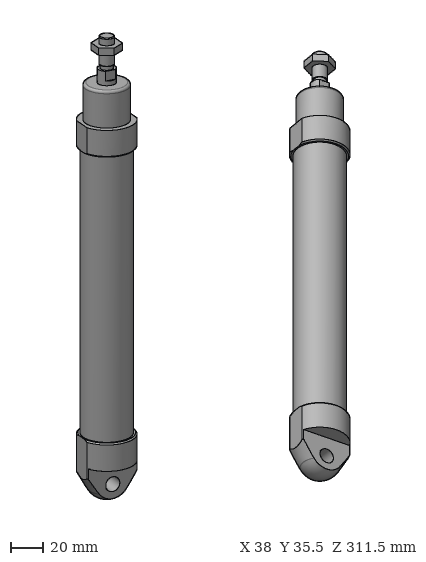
import cadquery as cq
import math

total_height = 311.5

cap_diameter = 38.0
cap_across_flats = 35.5
tube_diameter = 33.5
cap_chamfer = 1.0
front_cap_bottom = 236.7
front_cap_top = 255.0
rear_cap_top = 44.2
rear_cap_bottom = 25.5

nose_diameter = 30.0
nose_top = 280.0
nose_fillet = 2.0

eye_thickness = 16.0
eye_tip_radius = 14.3
eye_cone_half_angle = math.radians(30)
eye_hole_diameter = 10.0
eye_hole_height = 12.0

rod_diameter = 12.0
rod_shoulder = 289.7
wrench_flat_width = 10.0
wrench_flat_bottom = 283.0
neck_diameter = 8.5
neck_top = 292.5
thread_diameter = 10.0
thread_chamfer = 0.5

nut_across_flats = 17.0
nut_bottom = 301.5
nut_thickness = 5.0


def cylinder(diameter, bottom, top):
    return cq.Workplane("XY").workplane(offset=bottom).circle(diameter / 2).extrude(top - bottom)


def make_rear_cap():
    """Round cap whose lower end narrows through a cone into a spherical tip."""
    radius = cap_diameter / 2
    tangent_radius = eye_tip_radius * math.cos(eye_cone_half_angle)
    tangent_height = eye_tip_radius * (1 - math.sin(eye_cone_half_angle))
    cone_top = tangent_height + (radius - tangent_radius) / math.tan(eye_cone_half_angle)
    mid_angle = (math.pi / 2 + eye_cone_half_angle) / 2
    arc_middle = (
        eye_tip_radius * math.cos(mid_angle),
        eye_tip_radius * (1 - math.sin(mid_angle)),
    )
    cap = (
        cq.Workplane("YZ")
        .moveTo(0, 0)
        .threePointArc(arc_middle, (tangent_radius, tangent_height))
        .lineTo(radius, cone_top)
        .lineTo(radius, rear_cap_top - cap_chamfer)
        .lineTo(radius - cap_chamfer, rear_cap_top)
        .lineTo(0, rear_cap_top)
        .close()
        .revolve(360, (0, 0, 0), (0, 1, 0))
    )
    tongue = cq.Workplane("XY").box(
        eye_thickness, cap_diameter, rear_cap_bottom, centered=(True, True, False)
    )
    hole = cq.Workplane("YZ").center(0, eye_hole_height).circle(eye_hole_diameter / 2)
    hole = hole.extrude(eye_thickness, both=True)
    upper = cylinder(cap_diameter, rear_cap_bottom, rear_cap_top)
    return cap.intersect(tongue.union(upper)).cut(hole)


def make_housing():
    """Tube with its two flatted caps, the nose and the mounting eye."""
    front_cap = cylinder(cap_diameter, front_cap_bottom, front_cap_top)
    front_cap = front_cap.faces("<Z").chamfer(cap_chamfer)
    caps = make_rear_cap().union(front_cap)
    flats = cq.Workplane("XY").box(
        cap_diameter, cap_across_flats, total_height, centered=(True, True, False)
    )
    nose = cylinder(nose_diameter, front_cap_top, nose_top).faces(">Z").edges().fillet(nose_fillet)
    tube = cylinder(tube_diameter, rear_cap_top, front_cap_bottom)
    body = caps.intersect(flats).union(tube).union(nose)
    return body.cut(cylinder(rod_diameter, front_cap_bottom, nose_top))


def make_rod():
    """Rod seated in the nose, with wrench flats, a neck and a threaded end."""
    shank = cylinder(rod_diameter, front_cap_bottom, wrench_flat_bottom)
    flatted = cylinder(rod_diameter, wrench_flat_bottom, rod_shoulder).intersect(
        cq.Workplane("XY").box(
            wrench_flat_width, rod_diameter, total_height, centered=(True, True, False)
        )
    )
    neck = cylinder(neck_diameter, rod_shoulder, neck_top)
    thread = cylinder(thread_diameter, neck_top, total_height).faces(">Z").chamfer(thread_chamfer)
    return shank.union(flatted).union(neck).union(thread)


def make_nut():
    """Hexagonal lock nut with two corners on the X axis."""
    across_corners = nut_across_flats / math.cos(math.pi / 6)
    return (
        cq.Workplane("XY")
        .workplane(offset=nut_bottom)
        .polygon(6, across_corners)
        .circle(thread_diameter / 2)
        .extrude(nut_thickness)
    )


housing = make_housing()
rod = make_rod()
nut = make_nut()

result = cq.Compound.makeCompound([housing.val(), rod.val(), nut.val()])